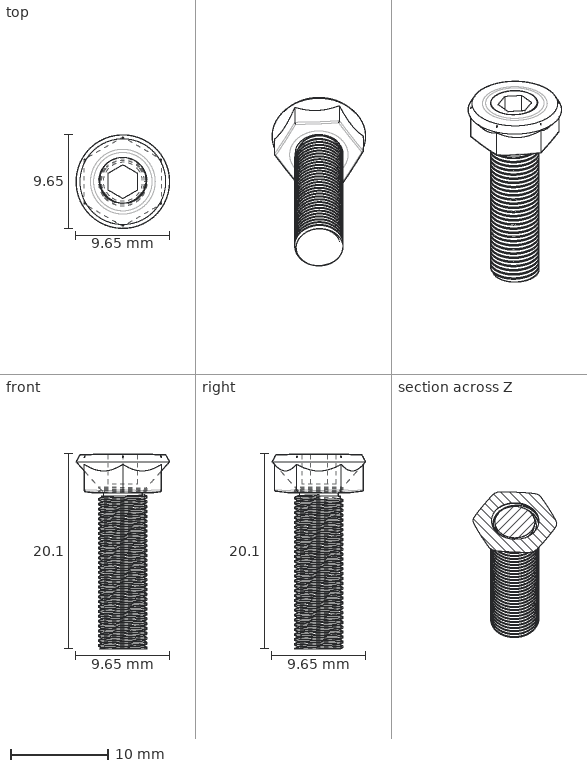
import cadquery as cq
import math

SCREW_TIP = 0.0
NUT_BOTTOM = 16.06
NUT_TOP = 20.05
HEAD_TOP = 20.0

THREAD_DIAMETER = 5.0
PITCH = 0.5
CREST_FLAT = 0.16
FLANK_RISE = 1.75
SHANK_CREST = 15.65
BORE_CREST = 19.9

HEAD_DIAMETER = 9.65
HEAD_TOP_DIAMETER = 8.82
RIM_HEIGHT = 19.27
RING_BOTTOM = 19.45
HEAD_SEAT_ANGLE = 42.0
NECK_DIAMETER = 4.0
NECK_BOTTOM = 15.74
SOCKET_ACROSS_FLATS = 3.0
SOCKET_DEPTH = 3.0

NUT_ACROSS_FLATS = 7.94
NUT_FACE_DIAMETER = 6.02
NUT_CHAMFER_ANGLE = 7.0
NUT_EDGE_FILLET = 0.16

CUT_MARGIN = 1.0
RIDGE_OVERLAP = 0.05
RIDGE_GAP = 0.01

thread_radius = THREAD_DIAMETER / 2
neck_radius = NECK_DIAMETER / 2
head_radius = HEAD_DIAMETER / 2
face_radius = NUT_FACE_DIAMETER / 2
ridge_half_width = (PITCH - RIDGE_GAP) / 2
root_radius = thread_radius - (ridge_half_width - CREST_FLAT / 2) * FLANK_RISE
foot_radius = root_radius - RIDGE_OVERLAP
countersink_top = NUT_TOP + CUT_MARGIN
seat_tip = RIM_HEIGHT - head_radius / math.tan(math.radians(HEAD_SEAT_ANGLE))


def cylinder(radius, bottom, top):
    return cq.Workplane("XY").workplane(offset=bottom).circle(radius).extrude(top - bottom)


def revolved(outline):
    """Solid of revolution about Z from an outline of (radius, height) points."""
    return cq.Workplane("XZ").polyline(outline).close().revolve(360, (0, 0), (0, 1))


def hexagon(across_flats, bottom, top):
    """Hexagonal prism with flats facing +X and -X."""
    across_corners = across_flats / math.cos(math.radians(30))
    prism = cq.Workplane("XY").workplane(offset=bottom).polygon(6, across_corners).extrude(top - bottom)
    return prism.rotate((0, 0, 0), (0, 0, 1), 30)


def thread_ridge(first_crest, turns):
    """Right-hand thread ridge whose first crest lies at the given height on the +X side."""
    section = [
        (foot_radius, first_crest - ridge_half_width),
        (thread_radius, first_crest - CREST_FLAT / 2),
        (thread_radius, first_crest + CREST_FLAT / 2),
        (foot_radius, first_crest + ridge_half_width),
    ]
    helix = cq.Wire.makeHelix(PITCH, turns * PITCH, thread_radius, center=cq.Vector(0, 0, first_crest))
    return cq.Workplane("XZ").polyline(section).close().sweep(cq.Workplane(helix), isFrenet=True)


def threaded_shank():
    """Shank thread that ends on the +X side below a plain neck reaching into the head."""
    turns = math.ceil((SHANK_CREST - SCREW_TIP) / PITCH) + 1
    first_crest = SHANK_CREST - turns * PITCH
    core = cylinder(root_radius, first_crest - PITCH, RIM_HEIGHT)
    rod = core.union(thread_ridge(first_crest, turns))
    space_above_tip = cylinder(head_radius, SCREW_TIP, RIM_HEIGHT)
    undercut = cylinder(root_radius, NECK_BOTTOM, RIM_HEIGHT).cut(
        cylinder(neck_radius, NECK_BOTTOM, RIM_HEIGHT)
    )
    return rod.intersect(space_above_tip).cut(undercut)


def nut_bore():
    """Threaded rod that fills the bore of the nut and runs out past both ends."""
    turns_below = math.ceil((BORE_CREST - NUT_BOTTOM) / PITCH) + 2
    turns_above = math.ceil((NUT_TOP - BORE_CREST) / PITCH) + 2
    first_crest = BORE_CREST - turns_below * PITCH
    core = cylinder(root_radius, first_crest - PITCH, BORE_CREST + (turns_above + 1) * PITCH)
    return core.union(thread_ridge(first_crest, turns_below + turns_above))


def nut_blank():
    """Hexagon with rounded edges and shallow conical chamfers, without bore or countersink."""
    rise = (head_radius - face_radius) * math.tan(math.radians(NUT_CHAMFER_ANGLE))
    end_cones = revolved([
        (0, NUT_BOTTOM),
        (face_radius, NUT_BOTTOM),
        (head_radius, NUT_BOTTOM + rise),
        (head_radius, NUT_TOP - rise),
        (face_radius, NUT_TOP),
        (0, NUT_TOP),
    ])
    blank = hexagon(NUT_ACROSS_FLATS, NUT_BOTTOM, NUT_TOP).intersect(end_cones)
    return blank.edges("(not |Z) and (not %CIRCLE)").fillet(NUT_EDGE_FILLET)


def countersink():
    """Space over the head seat: the seat cone continued straight up from the head rim."""
    return revolved([
        (0, seat_tip),
        (head_radius, RIM_HEIGHT),
        (head_radius, countersink_top),
        (0, countersink_top),
    ])


def countersunk_head():
    return revolved([
        (0, seat_tip),
        (head_radius, RIM_HEIGHT),
        (HEAD_TOP_DIAMETER / 2, HEAD_TOP),
        (0, HEAD_TOP),
    ])


def socket():
    return hexagon(SOCKET_ACROSS_FLATS, HEAD_TOP - SOCKET_DEPTH, NUT_TOP)


def nut():
    """Nut with a threaded bore, countersunk for the screw head."""
    return bored_nut.cut(countersink())


def screw():
    """Socket screw whose head carries the raised ring on top of the nut."""
    raised_ring = bored_nut.intersect(cylinder(head_radius, RING_BOTTOM, NUT_TOP))
    head = countersunk_head().union(raised_ring)
    return threaded_shank().union(head).cut(socket())


bored_nut = nut_blank().cut(nut_bore())
result = cq.Compound.makeCompound([screw().val(), nut().val()])